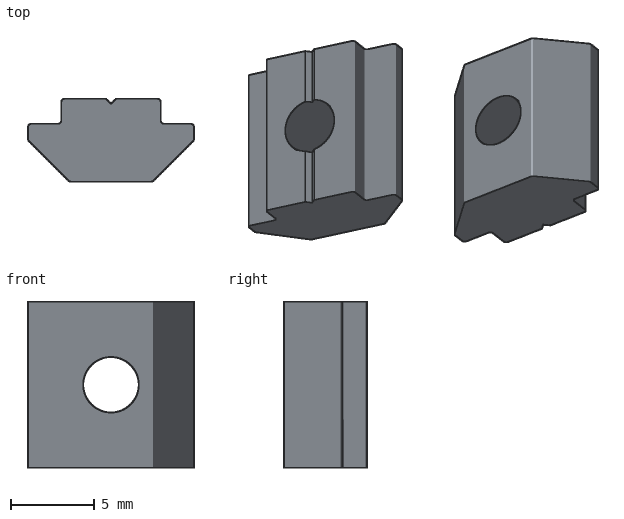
import cadquery as cq

width = 10.0
height = 5.0
length = 10.0

neck_width = 6.0
neck_height = 1.5
bevel = 2.5
edge_radius = 0.2

groove_depth = 0.3
groove_half_width = groove_depth

thread_hole_diameter = 3.33


def make_body():
    """Rounded T-nut profile in the XY plane, extruded along Z."""
    half_width = width / 2
    half_neck = neck_width / 2
    front_y = -height / 2
    neck_y = height / 2
    shoulder_y = neck_y - neck_height
    right_side = [
        (half_width - bevel, front_y),
        (half_width, front_y + bevel),
        (half_width, shoulder_y),
        (half_neck, shoulder_y),
        (half_neck, neck_y),
    ]
    left_side = [(-x, y) for x, y in reversed(right_side)]
    profile = cq.Workplane("XY").polyline(right_side + left_side).close()
    return profile.extrude(length / 2, both=True).edges("|Z").fillet(edge_radius)


def make_groove():
    """V-shaped groove cutter running the full length of the neck face."""
    neck_y = height / 2
    triangle = [
        (-groove_half_width, neck_y),
        (0, neck_y - groove_depth),
        (groove_half_width, neck_y),
    ]
    return cq.Workplane("XY").polyline(triangle).close().extrude(length / 2, both=True)


def make_thread_hole():
    """Cylinder cutter through the centre of the nut along Y."""
    return cq.Workplane("XZ").circle(thread_hole_diameter / 2).extrude(height / 2, both=True)


result = make_body().cut(make_groove()).cut(make_thread_hole())